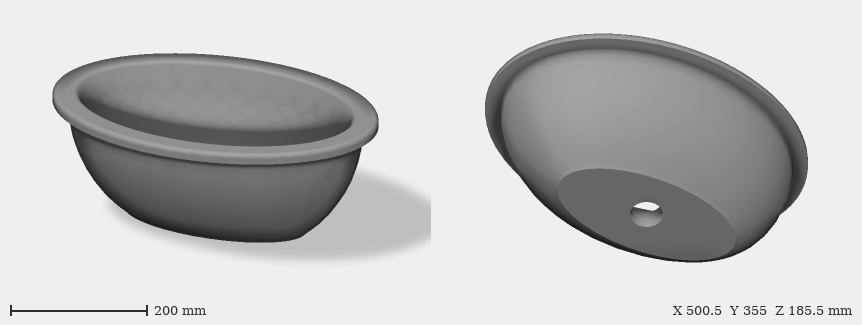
import cadquery as cq
import math

LENGTH = 500.5
WIDTH = 355.0
HALF_LENGTH = LENGTH / 2
HALF_WIDTH = WIDTH / 2
HEIGHT = 185.5

RIM_THICKNESS = 15.5
RIM_EDGE_RADIUS = 7.0
RIM_UNDERSIDE_Z = HEIGHT - RIM_THICKNESS

RIM_OVERHANG = 22.5
RIM_ROOT_RADIUS = 3.0
OUTER_WALL_RADIUS = 210.0

FOOT_HEIGHT = 4.5
FOOT_TAPER = 4.5

MOUTH_INSET = 35.5
MOUTH_RADIUS = 6.0
BASIN_FLOOR_Z = 46.0
BASIN_FLOOR_SLOPE = 12.0

DRAIN_DIAMETER = 48.5
COUNTERSINK_DIAMETER = 76.0
DRAIN_RADIUS = DRAIN_DIAMETER / 2
COUNTERSINK_RADIUS = COUNTERSINK_DIAMETER / 2
COUNTERSINK_DEPTH = 12.0

WALL_SPANS = 8


def oval(half_length, half_width, z):
    return cq.Workplane("XY", origin=(0, 0, z)).ellipse(half_length, half_width).wires().val()


def loft(ovals, ruled=False):
    return cq.Workplane(cq.Solid.makeLoft(ovals, ruled))


def inset_oval(inset, z):
    """Oval whose length and width both lie the same distance inside the rim."""
    return oval(HALF_LENGTH - inset, HALF_WIDTH - inset, z)


def outer_wall_inset(z):
    drop = RIM_UNDERSIDE_Z - z
    return RIM_OVERHANG + OUTER_WALL_RADIUS - math.sqrt(OUTER_WALL_RADIUS**2 - drop**2)


def make_rim():
    rim = loft([inset_oval(0, RIM_UNDERSIDE_Z), inset_oval(0, HEIGHT)], ruled=True)
    return rim.faces(">Z").edges().fillet(RIM_EDGE_RADIUS)


def make_outer_wall():
    wall_height = RIM_UNDERSIDE_Z - FOOT_HEIGHT
    levels = [FOOT_HEIGHT + wall_height * i / WALL_SPANS for i in range(WALL_SPANS + 1)]
    return loft([inset_oval(outer_wall_inset(z), z) for z in levels])


def make_foot():
    top_inset = outer_wall_inset(FOOT_HEIGHT)
    return loft([inset_oval(top_inset + FOOT_TAPER, 0), inset_oval(top_inset, FOOT_HEIGHT)], ruled=True)


def make_basin():
    """Cavity whose section along the length is an arc from the drain up to the mouth."""
    run = HALF_LENGTH - MOUTH_INSET - COUNTERSINK_RADIUS
    width_run = HALF_WIDTH - MOUTH_INSET - COUNTERSINK_RADIUS
    rise = HEIGHT - BASIN_FLOOR_Z
    start = math.radians(BASIN_FLOOR_SLOPE)
    sweep = 2 * (math.atan2(rise, run) - start)
    radius = math.hypot(run, rise) / (2 * math.sin(sweep / 2))
    ovals = []
    for i in range(WALL_SPANS + 1):
        slope = start + sweep * i / WALL_SPANS
        out = radius * (math.sin(slope) - math.sin(start))
        up = radius * (math.cos(start) - math.cos(slope))
        half_length = COUNTERSINK_RADIUS + out
        half_width = COUNTERSINK_RADIUS + out * width_run / run
        ovals.append(oval(half_length, half_width, BASIN_FLOOR_Z + up))
    return loft(ovals)


def make_drain():
    hole = cq.Workplane("XY").circle(DRAIN_RADIUS).extrude(BASIN_FLOOR_Z)
    countersink = cq.Solid.makeCone(
        DRAIN_RADIUS,
        COUNTERSINK_RADIUS,
        COUNTERSINK_DEPTH,
        pnt=cq.Vector(0, 0, BASIN_FLOOR_Z - COUNTERSINK_DEPTH),
    )
    return hole.union(cq.Workplane(countersink))


def round_inner_edge(body, face_pick, radius):
    """Fillet the oval edge inside the one flat face that face_pick returns."""
    inner_wire = face_pick(body).val().innerWires()[0]
    return cq.Workplane(body.val().fillet(radius, inner_wire.Edges()))


def rim_underside(body):
    return body.faces("-Z").faces(">Z")


def rim_top(body):
    return body.faces(">Z")


bowl = make_rim().union(make_outer_wall())
bowl = round_inner_edge(bowl, rim_underside, RIM_ROOT_RADIUS)
bowl = bowl.union(make_foot()).cut(make_basin())
bowl = round_inner_edge(bowl, rim_top, MOUTH_RADIUS)
result = bowl.cut(make_drain())